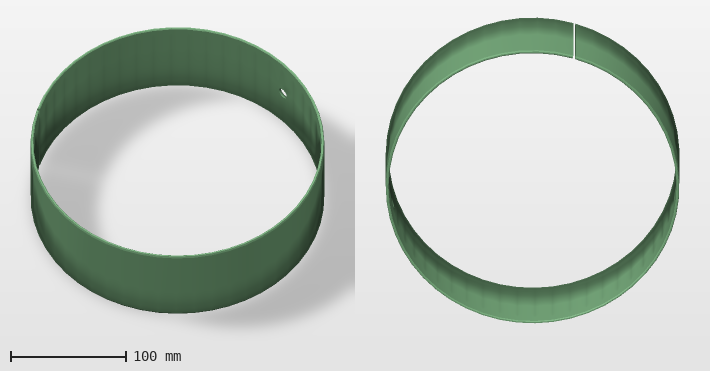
import cadquery as cq

outer_diameter = 255.0
wall_thickness = 2.5
height = 80.0

outer_bevel_width = 0.65
outer_bevel_height = 1.8

inner_bevel = 0.8

slit_start_angle = 180.0
slit_angle = 1.0

hole_diameter = 10.0
hole_angle = 59.0

full_turn = 360.0
outer_radius = outer_diameter / 2
inner_radius = outer_radius - wall_thickness
half_height = height / 2


def turn_about_z(body, angle):
    """Rotate a body about the ring axis, counter-clockwise seen from above."""
    return body.rotate((0, 0, 0), (0, 0, 1), angle)


def make_split_ring():
    """Revolve the bevelled wall section about Z, stopping short of a full turn to leave the slit."""
    outer_rim_radius = outer_radius - outer_bevel_width
    inner_rim_radius = inner_radius + inner_bevel
    section = [
        (inner_radius, -half_height + inner_bevel),
        (inner_rim_radius, -half_height),
        (outer_rim_radius, -half_height),
        (outer_radius, -half_height + outer_bevel_height),
        (outer_radius, half_height - outer_bevel_height),
        (outer_rim_radius, half_height),
        (inner_rim_radius, half_height),
        (inner_radius, half_height - inner_bevel),
    ]
    profile = cq.Workplane("XZ").polyline(section).close()
    ring = profile.revolve(full_turn - slit_angle, (0, 0), (0, 1))
    return turn_about_z(ring, slit_start_angle)


def make_hole():
    """Radial cylinder that runs from the axis outwards, so it crosses the wall once."""
    drill = cq.Workplane("YZ").circle(hole_diameter / 2).extrude(outer_diameter)
    return turn_about_z(drill, hole_angle)


result = make_split_ring().cut(make_hole())